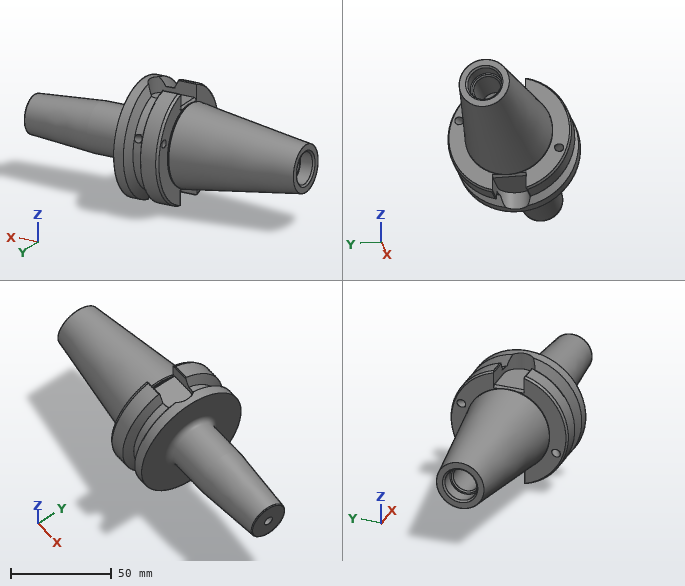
import cadquery as cq
import math

total_length = 155.4

taper_length = 65.9
gauge_radius = 22.4
taper_slope = 7 / 24 / 2
shank_end_radius = gauge_radius - taper_length * taper_slope
neck_radius = 21.9
neck_start = 66.5

flange_start = 67.0
flange_end = 92.5
flange_radius = 63.0 / 2
flange_chamfer_length = 1.4
flange_chamfer_height = 0.8
groove_radius = 26.5
groove_start = 77.1
groove_floor_start = 79.7
groove_floor_end = 84.0
groove_end = 86.9

nose_radius = 13.5
nose_fillet = 3.0
nose_taper_start = 117.5
nose_end_radius = 10.5
nose_end_chamfer = 0.5

mouth_radius = 9.5
mouth_depth = 1.0
pilot_radius = 8.5
pilot_depth = 7.8
thread_lead_in_radius = 7.8
thread_core_radius = 7.0
thread_end = 29.5
drill_point_half_angle = math.radians(59)
coolant_bore_radius = 2.5

slot_floor = 22.5
slot_end = 89.0
upper_slot_width = 16.3
lower_slot_width = 17.1
slot_floor_bevel = 1.2
slot_rim_bevel = 0.6

port_diameter = 4.0
port_inlet_radius = 27.0
port_tilt = math.radians(30)
port_angle = 20.0
port_outlet_x = 81.9
port_outlet_diameter = 4.4


def make_body():
    """Solid of revolution: shank, neck, grooved flange and nose."""
    arc_offset = nose_fillet * (1 - math.sqrt(0.5))
    profile = (
        cq.Workplane("XY")
        .lineTo(0, shank_end_radius)
        .lineTo(taper_length, gauge_radius)
        .lineTo(neck_start, neck_radius)
        .lineTo(flange_start, neck_radius)
        .lineTo(flange_start, flange_radius - flange_chamfer_height)
        .lineTo(flange_start + flange_chamfer_length, flange_radius)
        .lineTo(groove_start, flange_radius)
        .lineTo(groove_floor_start, groove_radius)
        .lineTo(groove_floor_end, groove_radius)
        .lineTo(groove_end, flange_radius)
        .lineTo(flange_end, flange_radius)
        .lineTo(flange_end, nose_radius + nose_fillet)
        .threePointArc(
            (flange_end + arc_offset, nose_radius + arc_offset),
            (flange_end + nose_fillet, nose_radius),
        )
        .lineTo(nose_taper_start, nose_radius)
        .lineTo(total_length - nose_end_chamfer, nose_end_radius)
        .lineTo(total_length, nose_end_radius - nose_end_chamfer)
        .lineTo(total_length, 0)
        .close()
    )
    return profile.revolve(360, (0, 0, 0), (1, 0, 0))


def make_bore():
    """Threaded-rod pocket in the shank, leading into the coolant bore that runs right through."""
    lead_in_end = pilot_depth + thread_lead_in_radius - thread_core_radius
    point_length = (thread_core_radius - coolant_bore_radius) / math.tan(drill_point_half_angle)
    profile = (
        cq.Workplane("XY")
        .lineTo(0, mouth_radius)
        .lineTo(mouth_depth, pilot_radius)
        .lineTo(pilot_depth, pilot_radius)
        .lineTo(pilot_depth, thread_lead_in_radius)
        .lineTo(lead_in_end, thread_core_radius)
        .lineTo(thread_end, thread_core_radius)
        .lineTo(thread_end + point_length, coolant_bore_radius)
        .lineTo(total_length, coolant_bore_radius)
        .lineTo(total_length, 0)
        .close()
    )
    return profile.revolve(360, (0, 0, 0), (1, 0, 0))


def make_drive_slot(width):
    """Round-ended slot cutter for the +Z side, with bevels on its floor edge and both rim edges."""
    half_width = width / 2
    slot = (
        cq.Workplane("XY", origin=(0, 0, slot_floor))
        .moveTo(flange_start, -half_width)
        .lineTo(slot_end - half_width, -half_width)
        .threePointArc((slot_end, 0), (slot_end - half_width, half_width))
        .lineTo(flange_start, half_width)
        .close()
        .extrude(flange_radius - slot_floor)
    )
    floor_bevel = (
        cq.Workplane("XZ")
        .moveTo(flange_start, slot_floor - slot_floor_bevel)
        .lineTo(flange_start + slot_floor_bevel, slot_floor)
        .lineTo(flange_start, slot_floor)
        .close()
        .extrude(half_width, both=True)
    )
    bevel_bottom = math.sqrt(flange_radius**2 - half_width**2) - slot_rim_bevel
    bevel_top_half_width = half_width + flange_radius - bevel_bottom
    rim_bevel = (
        cq.Workplane("YZ", origin=(flange_start, 0, 0))
        .moveTo(-half_width, bevel_bottom)
        .lineTo(half_width, bevel_bottom)
        .lineTo(bevel_top_half_width, flange_radius)
        .lineTo(-bevel_top_half_width, flange_radius)
        .close()
        .extrude(groove_start - flange_start)
    )
    return slot.union(floor_bevel).union(rim_bevel)


def make_coolant_port():
    """Hole slanting inward from the flange face to the foot of a radial hole in the groove (+Y side)."""
    run = port_outlet_x - flange_start
    meeting_radius = port_inlet_radius - run * math.tan(port_tilt)
    direction = cq.Vector(math.cos(port_tilt), -math.sin(port_tilt), 0)
    lead = port_diameter
    start = cq.Vector(flange_start, port_inlet_radius, 0) - direction * lead
    inlet = cq.Solid.makeCylinder(port_diameter / 2, lead + run / math.cos(port_tilt), start, direction)
    outlet = cq.Solid.makeCylinder(
        port_outlet_diameter / 2,
        flange_radius - meeting_radius,
        cq.Vector(port_outlet_x, meeting_radius, 0),
        cq.Vector(0, 1, 0),
    )
    return cq.Workplane(obj=inlet).union(cq.Workplane(obj=outlet))


def turn_about_axis(shape, angle):
    return shape.rotate((0, 0, 0), (1, 0, 0), angle)


result = make_body().cut(make_bore())

result = result.cut(make_drive_slot(upper_slot_width))
result = result.cut(turn_about_axis(make_drive_slot(lower_slot_width), 180))

for side in (0, 180):
    result = result.cut(turn_about_axis(make_coolant_port(), port_angle + side))